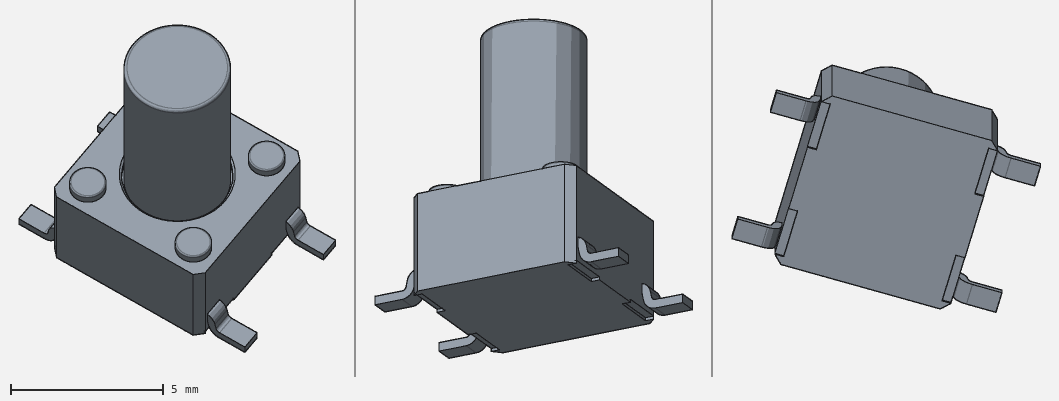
import cadquery as cq
import math

total_height = 9.5
lead_span = 9.0

housing_side = 6.0
housing_top = 3.45
corner_chamfer = 0.285
cover_thickness = 0.29

plunger_diameter = 3.5
plunger_edge_radius = 0.1
opening_diameter = 3.64
opening_chamfer = 0.08

rivet_diameter = 1.2
rivet_height = 0.3
rivet_edge_radius = 0.05
rivet_offset = 2.1

lead_width = 0.7
lead_thickness = 0.3
lead_offset = 2.25
foot_length = 1.01
bend_radius = 0.14
riser_lean = math.radians(12)
riser_length = 0.22
lead_embed = 0.38

pocket_inner = 1.09
pocket_height = 0.1
pocket_depth = 0.3


def make_housing():
    housing = (
        cq.Workplane("XY")
        .rect(housing_side, housing_side)
        .extrude(housing_top)
        .edges("|Z")
        .chamfer(corner_chamfer)
    )
    opening = (
        cq.Workplane("XY", origin=(0, 0, housing_top - cover_thickness))
        .circle(opening_diameter / 2)
        .extrude(cover_thickness)
    )
    housing = housing.cut(opening)
    return housing.faces(">Z").edges("%CIRCLE").chamfer(opening_chamfer)


def cut_lead_pockets(housing):
    pocket_outer = housing_side / 2 - corner_chamfer
    pocket_center = (pocket_inner + pocket_outer) / 2
    pocket_x = (housing_side - pocket_depth) / 2
    pockets = (
        cq.Workplane("XY")
        .rect(2 * pocket_x, 2 * pocket_center, forConstruction=True)
        .vertices()
        .rect(pocket_depth, pocket_outer - pocket_inner)
        .extrude(pocket_height)
    )
    return housing.cut(pockets)


def make_plunger():
    base = housing_top - cover_thickness
    return (
        cq.Workplane("XY", origin=(0, 0, base))
        .circle(plunger_diameter / 2)
        .extrude(total_height - base)
        .faces(">Z")
        .edges()
        .fillet(plunger_edge_radius)
    )


def make_rivets():
    return (
        cq.Workplane("XY", origin=(0, 0, housing_top))
        .rect(2 * rivet_offset, 2 * rivet_offset, forConstruction=True)
        .vertices()
        .circle(rivet_diameter / 2)
        .extrude(rivet_height)
        .faces(">Z")
        .edges()
        .fillet(rivet_edge_radius)
    )


def make_left_lead(y_center):
    """S-shaped strip: flat foot, leaning riser, flat root inside the housing."""
    outer_radius = bend_radius + lead_thickness
    sin_lean = math.sin(riser_lean)
    cos_lean = math.cos(riser_lean)
    foot_x = -lead_span / 2
    root_x = -housing_side / 2 + lead_embed

    low_x = foot_x + foot_length
    low_z = outer_radius
    high_x = low_x + (bend_radius + outer_radius) * cos_lean + riser_length * sin_lean
    high_z = low_z - (bend_radius + outer_radius) * sin_lean + riser_length * cos_lean

    half_turn = (math.pi / 2 - riser_lean) / 2

    def low_point(radius, angle):
        return (low_x + radius * math.sin(angle), low_z - radius * math.cos(angle))

    def high_point(radius, angle):
        return (high_x - radius * math.sin(angle), high_z + radius * math.cos(angle))

    profile = (
        cq.Workplane("XZ", origin=(0, y_center, 0))
        .moveTo(foot_x, 0)
        .lineTo(low_x, 0)
        .threePointArc(low_point(outer_radius, half_turn), low_point(outer_radius, 2 * half_turn))
        .lineTo(*high_point(bend_radius, 2 * half_turn))
        .threePointArc(high_point(bend_radius, half_turn), high_point(bend_radius, 0))
        .lineTo(root_x, high_z + bend_radius)
        .lineTo(root_x, high_z + outer_radius)
        .lineTo(*high_point(outer_radius, 0))
        .threePointArc(high_point(outer_radius, half_turn), high_point(outer_radius, 2 * half_turn))
        .lineTo(*low_point(bend_radius, 2 * half_turn))
        .threePointArc(low_point(bend_radius, half_turn), low_point(bend_radius, 0))
        .lineTo(foot_x, lead_thickness)
        .close()
    )
    return profile.extrude(lead_width / 2, both=True)


result = cut_lead_pockets(make_housing()).union(make_plunger()).union(make_rivets())
for lead_y in (-lead_offset, lead_offset):
    left_lead = make_left_lead(lead_y)
    result = result.union(left_lead).union(left_lead.mirror("YZ"))